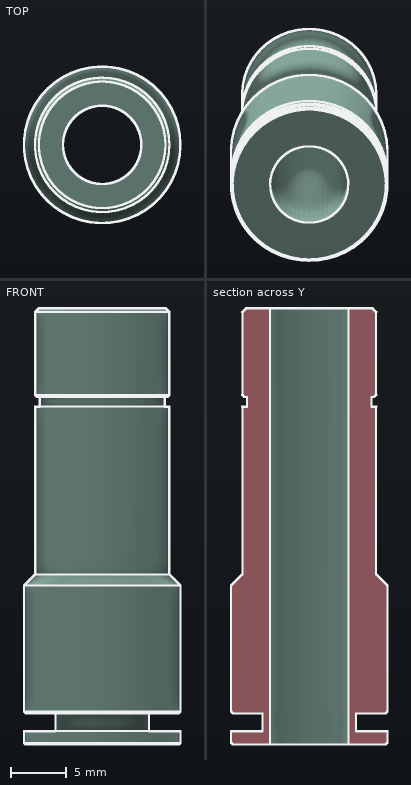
import cadquery as cq

total_height = 39.0
body_diameter = 14.0
bore_diameter = 7.0

flange_height = 1.2
flange_edge = 0.15
neck_diameter = 8.4

sleeve_bottom = 2.75
sleeve_edge = 0.2
shoulder_top = 15.2

stem_diameter = 12.0
stem_top_edge = 0.35

groove_diameter = 11.2
groove_bottom = 30.2
groove_top = 31.05
groove_upper_edge = 0.2


def cylinder(diameter, bottom, top):
    """Solid cylinder on the Z axis between two heights."""
    return cq.Workplane("XY").workplane(offset=bottom).circle(diameter / 2).extrude(top - bottom)


shoulder_size = (body_diameter - stem_diameter) / 2

flange = cylinder(body_diameter, 0, flange_height).faces("<Z").edges().chamfer(flange_edge)
neck = cylinder(neck_diameter, flange_height, sleeve_bottom)
sleeve = (
    cylinder(body_diameter, sleeve_bottom, shoulder_top)
    .faces("<Z").edges().chamfer(sleeve_edge)
    .faces(">Z").edges().chamfer(shoulder_size)
)
lower_stem = cylinder(stem_diameter, shoulder_top, groove_bottom)
groove_core = cylinder(groove_diameter, groove_bottom, groove_top)
stem_head = (
    cylinder(stem_diameter, groove_top, total_height)
    .faces("<Z").edges().chamfer(groove_upper_edge)
    .faces(">Z").edges().chamfer(stem_top_edge)
)

outer_body = flange
for section in (neck, sleeve, lower_stem, groove_core, stem_head):
    outer_body = outer_body.union(section)

result = outer_body.cut(cylinder(bore_diameter, 0, total_height))